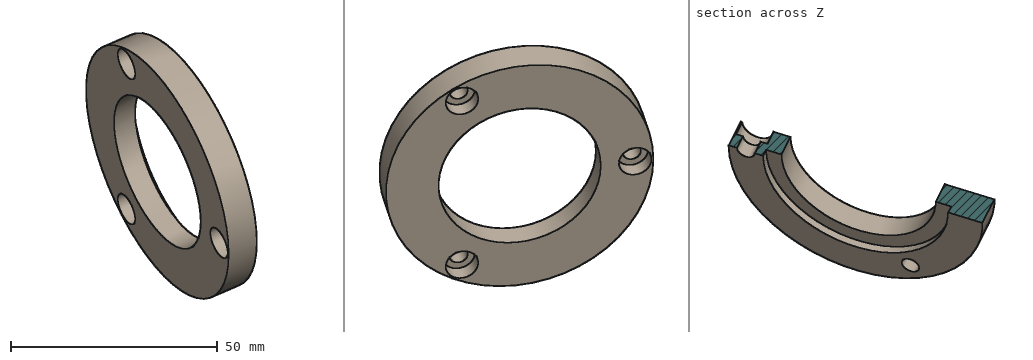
import cadquery as cq

OUTER_DIAMETER = 66.0
BORE_DIAMETER = 40.0
THICKNESS = 8.0

RECESS_DIAMETER = 48.0
RECESS_DEPTH = 2.0

HOLE_COUNT = 3
HOLE_CIRCLE_RADIUS = 28.5
HOLE_DIAMETER = 4.5
COUNTERBORE_DIAMETER = 8.0
COUNTERBORE_DEPTH = 4.0


def make_ring():
    """Flat ring that extends from the front face towards +Y."""
    return (
        cq.Workplane("XZ")
        .circle(OUTER_DIAMETER / 2)
        .circle(BORE_DIAMETER / 2)
        .extrude(-THICKNESS)
    )


def cut_back_recess(ring):
    """Step the bore out to the recess diameter at the back face."""
    recess = (
        cq.Workplane("XZ", origin=(0, THICKNESS, 0))
        .circle(RECESS_DIAMETER / 2)
        .extrude(RECESS_DEPTH)
    )
    return ring.cut(recess)


def cut_screw_holes(ring):
    """Equally spaced through holes, the first one on the +X axis."""
    return (
        ring.copyWorkplane(cq.Workplane("XZ"))
        .polarArray(HOLE_CIRCLE_RADIUS, 0, 360, HOLE_COUNT)
        .cboreHole(HOLE_DIAMETER, COUNTERBORE_DIAMETER, COUNTERBORE_DEPTH)
    )


ring = make_ring()
ring = cut_back_recess(ring)
result = cut_screw_holes(ring)